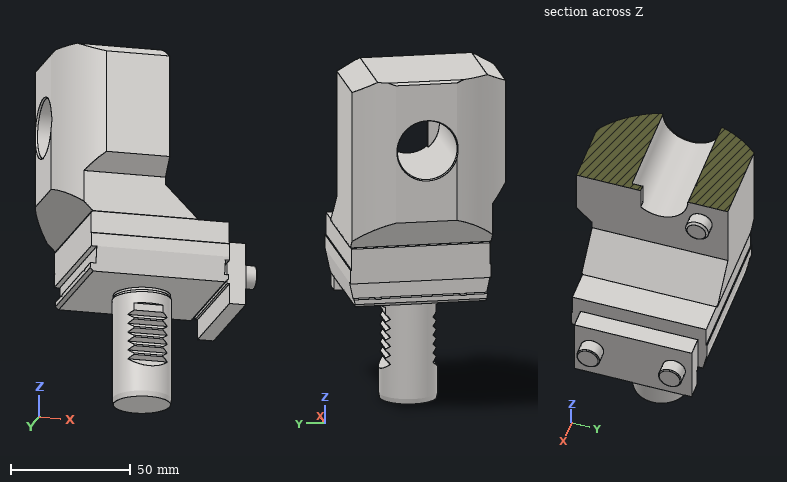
import cadquery as cq
import math

shank_diameter = 25.0
shank_end_diameter = 24.1
shank_length = 48.0
shank_neck_length = 1.0
shank_taper_end = 2.0
shank_tip_length = 2.2

tooth_start = 7.0
tooth_flat_depth = 10.8
tooth_root_depth = 9.2
first_root = 11.7
last_root = 31.2
tooth_count = 6

base_half_length = 30.0
base_half_width = 30.0
base_upper_half_width = 29.6
base_upper_bottom = 16.3
base_ledge = 10.4
base_top = 25.9
base_edge_chamfer = 0.5
base_bottom_half_width = 27.8
lip_top = 3.4
lip_chamfer = 1.3
groove_depth = 2.4

body_front = -42.9
body_back = 2.2
body_top = 100.0
body_left = base_half_width
body_right = -37.0
body_round_radius = 44.8
body_edge_chamfer = 1.0
body_side_bevel_height = 5.6
body_side_bevel_width = body_side_bevel_height * math.sqrt(3)
overhang_bottom = 50.2
front_bevel_start = 39.4
back_slope_start = 40.1

bore_diameter = 25.5
bore_rim_diameter = 26.2
bore_rim_depth = 0.9
bore_offset = -0.5
bore_height = 70.2
stop_edge = -8.5
stop_thickness = 3.0

plate_front = 30.0
plate_lower_front = 31.1
plate_back = 38.2
plate_half_width = 25.9
plate_top = 18.4
plate_bottom = -8.7

screw_spacing = 36.1
screw_height = 6.0
screw_head_diameter = 10.0
screw_head_length = 5.9
screw_head_chamfer = 0.5
screw_shaft_diameter = 5.0
screw_hole_diameter = 6.0
screw_pocket_depth = 1.8
body_screw_height = 59.8
body_screw_chamfer = 0.9


def extrude_along_y(points, y_start, y_end):
    """Prism with an XZ outline, reaching from y_start to y_end."""
    outline = cq.Workplane("XZ", origin=(0, y_end, 0)).polyline(points).close()
    return outline.extrude(y_end - y_start)


def extrude_along_x(points, x_start, x_end):
    """Prism with a YZ outline, reaching from x_start to x_end."""
    outline = cq.Workplane("YZ", origin=(x_start, 0, 0)).polyline(points).close()
    return outline.extrude(x_end - x_start)


def cylinder_along_x(diameter, x_start, x_end, y, z):
    circle = cq.Workplane("YZ", origin=(x_start, y, z)).circle(diameter / 2)
    return circle.extrude(x_end - x_start)


def box_between(x_range, y_range, z_range):
    lows, highs = zip(x_range, y_range, z_range)
    sizes = [high - low for low, high in zip(lows, highs)]
    return cq.Workplane("XY").box(*sizes, centered=False).translate(lows)


def screw_head(x_start, y, z, chamfer):
    head = cylinder_along_x(screw_head_diameter, x_start, x_start + screw_head_length, y, z)
    return head.faces(">X").chamfer(chamfer)


def make_body():
    base_joint = front_bevel_start - base_top
    side = [
        (body_front, front_bevel_start),
        (body_front + base_joint, base_top),
        (body_back + back_slope_start - base_top, base_top),
        (body_back, back_slope_start),
        (body_back, body_top - body_edge_chamfer),
        (body_back - body_edge_chamfer, body_top),
        (body_front + body_edge_chamfer, body_top),
        (body_front, body_top - body_edge_chamfer),
    ]
    overhang = -base_half_width - body_right
    front = [
        (body_left, base_top),
        (-base_half_width, base_top),
        (-base_half_width, overhang_bottom - overhang),
        (body_right, overhang_bottom),
        (body_right, body_top - body_side_bevel_height),
        (body_right + body_side_bevel_width, body_top),
        (body_left - body_side_bevel_width, body_top),
        (body_left, body_top - body_side_bevel_height),
    ]
    block = extrude_along_y(side, body_right, body_left)
    block = block.intersect(extrude_along_x(front, body_front, body_round_radius))
    rounding = cq.Workplane("XY").circle(body_round_radius).extrude(body_top)
    return block.intersect(rounding)


def cut_bore(body):
    bore = cylinder_along_x(bore_diameter, body_front, body_back, bore_offset, bore_height)
    stop = box_between(
        (body_back - stop_thickness, body_back),
        (-bore_diameter, stop_edge),
        (bore_height - bore_diameter, bore_height + bore_diameter),
    )
    rim = cq.Workplane("YZ", origin=(body_front, bore_offset, bore_height)).circle(bore_rim_diameter / 2)
    rim = rim.workplane(offset=bore_rim_depth).circle(bore_diameter / 2).loft()
    return body.cut(bore.cut(stop)).cut(rim)


def make_base():
    length_range = (-base_half_length, base_half_length)
    upper = box_between(
        length_range, (-base_upper_half_width, base_upper_half_width), (base_upper_bottom, base_top)
    )
    upper = upper.faces("<X").edges(">Z").chamfer(base_edge_chamfer)
    middle = box_between(
        length_range, (-base_half_width, base_half_width), (base_ledge, base_upper_bottom)
    )
    lower_outline = [
        (-base_half_length + lip_chamfer, 0),
        (base_half_length - lip_chamfer, 0),
        (base_half_length, lip_chamfer),
        (base_half_length, base_ledge),
        (-base_half_length + groove_depth, base_ledge),
        (-base_half_length + groove_depth, lip_top),
        (-base_half_length, lip_top),
        (-base_half_length, lip_chamfer),
    ]
    taper = [
        (-base_bottom_half_width, 0),
        (base_bottom_half_width, 0),
        (base_half_width, base_ledge),
        (-base_half_width, base_ledge),
    ]
    lower = extrude_along_y(lower_outline, -base_half_width, base_half_width)
    lower = lower.intersect(extrude_along_x(taper, *length_range))
    return upper.union(middle).union(lower)


def make_shank():
    radius = shank_diameter / 2
    end_radius = shank_end_diameter / 2
    profile = [
        (0, 0),
        (end_radius, 0),
        (end_radius, -shank_neck_length),
        (radius, -shank_taper_end),
        (radius, shank_tip_length - shank_length),
        (end_radius, -shank_length),
        (0, -shank_length),
    ]
    shank = cq.Workplane("XZ").polyline(profile).close().revolve(360, (0, 0), (0, 1))

    pitch = (last_root - first_root) / (tooth_count - 1)
    flank = tooth_flat_depth - tooth_root_depth
    cut = [(radius, -tooth_start), (tooth_flat_depth, -tooth_start)]
    for index in range(tooth_count):
        root = first_root + index * pitch
        cut.append((tooth_flat_depth, flank - root))
        cut.append((tooth_root_depth, -root))
        if index < tooth_count - 1:
            cut.append((tooth_flat_depth, -flank - root))
    cut.append((radius, tooth_root_depth - radius - last_root))
    teeth = extrude_along_x(cut, -radius, radius)
    return shank.cut(teeth).cut(teeth.mirror("XZ"))


def make_plate():
    outline = [
        (plate_front, 0),
        (plate_lower_front, 0),
        (plate_lower_front, plate_bottom),
        (plate_back, plate_bottom),
        (plate_back, plate_top),
        (plate_front, plate_top),
    ]
    return extrude_along_y(outline, -plate_half_width, plate_half_width)


result = cut_bore(make_body()).union(make_base()).union(make_shank())

pocket = box_between(
    (base_half_length - screw_pocket_depth, base_half_length),
    (-base_half_width, -screw_spacing / 2),
    (screw_height - screw_hole_diameter / 2, screw_height + screw_hole_diameter / 2),
)
result = result.cut(pocket).union(make_plate())

for screw_y in (-screw_spacing / 2, screw_spacing / 2):
    lip_notch = cylinder_along_x(
        screw_hole_diameter, -base_half_length, groove_depth - base_half_length, screw_y, screw_height
    )
    shaft = cylinder_along_x(
        screw_shaft_diameter, base_half_length - screw_pocket_depth, plate_back, screw_y, screw_height
    )
    result = result.cut(lip_notch).union(shaft)
    result = result.union(screw_head(plate_back, screw_y, screw_height, screw_head_chamfer))

body_screw = screw_head(body_back, screw_spacing / 2, body_screw_height, body_screw_chamfer)
result = result.union(body_screw)